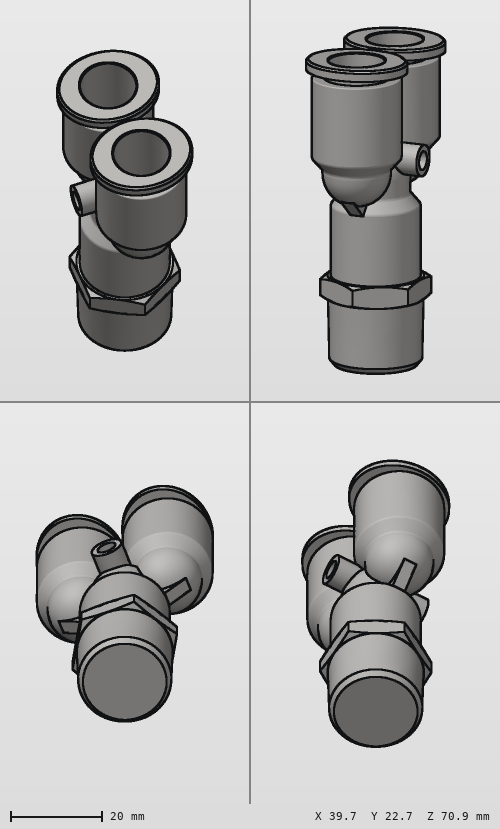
import cadquery as cq
import math

HEIGHT = 70.9
WIDTH = 39.7

THREAD_TOP = 15.0
THREAD_TOP_RADIUS = 10.5
THREAD_BOTTOM_RADIUS = 10.2
THREAD_LEAD_HEIGHT = 1.35
THREAD_LEAD_RADIUS = 9.15
HEX_TOP = 19.9
HEX_FLATS = 21.1
HEX_CORNER_DROP = 0.65

BODY_RADIUS = 9.85
SLEEVE_TOP = 35.9
HUB_RADIUS = 7.6
HUB_BOTTOM = 38.6
HUB_TOP = 43.05
SHOULDER_FILLET = 0.85

SOCKET_OFFSET = WIDTH / 2 - BODY_RADIUS
SOCKET_TOP = 66.9
SOCKET_CONE_TOP = 48.9
SOCKET_CONE_BOTTOM = 46.3
BALL_RADIUS = 7.5
BALL_CENTER = 45.5
SOCKET_FILLET = 0.85
RIM_FILLET = 0.3

NECK_RADIUS = 7.1
FLANGE_BOTTOM = 68.55
FLANGE_HALF_WIDTH = 9.7
FLANGE_HALF_LENGTH = 11.35
FLANGE_CHAMFER = 0.5
BORE_RADIUS = 6.2
BORE_CHAMFER = 0.2
BORE_BOTTOM = SOCKET_CONE_TOP

LUG_RADIUS = 3.5
LUG_HOLE_RADIUS = 2.05
LUG_LENGTH = 2 * FLANGE_HALF_LENGTH
LUG_HEIGHT = 47.0

RIB_THICKNESS = 3.05
RIB_BOTTOM = 35.65
RIB_SLOPE = 40.0
WEB_THICKNESS = 2.1
WEB_TOP = 65.7


def revolve_profile(profile):
    return profile.close().revolve(360, (0, 0, 0), (0, 1, 0))


def circles_between(low, high):
    """Selector for the round edges of a turned part from height low to height high."""
    reach = 2 * BODY_RADIUS
    margin = 0.35
    return cq.selectors.BoxSelector((-reach, -reach, low - margin), (reach, reach, high + margin))


def make_thread():
    profile = (
        cq.Workplane("XZ")
        .lineTo(THREAD_LEAD_RADIUS, 0)
        .lineTo(THREAD_BOTTOM_RADIUS, THREAD_LEAD_HEIGHT)
        .lineTo(THREAD_TOP_RADIUS, THREAD_TOP)
        .lineTo(0, THREAD_TOP)
    )
    return revolve_profile(profile)


def make_hexagon():
    """Hexagon with flats facing Y, its corners turned off conically at both ends."""
    flat_radius = HEX_FLATS / 2
    corner_radius = flat_radius / math.cos(math.radians(30))
    prism = (
        cq.Workplane("XY")
        .workplane(offset=THREAD_TOP)
        .polygon(6, 2 * corner_radius)
        .extrude(HEX_TOP - THREAD_TOP)
    )
    envelope = (
        cq.Workplane("XZ")
        .moveTo(0, THREAD_TOP)
        .lineTo(flat_radius, THREAD_TOP)
        .lineTo(corner_radius, THREAD_TOP + HEX_CORNER_DROP)
        .lineTo(corner_radius, HEX_TOP - HEX_CORNER_DROP)
        .lineTo(flat_radius, HEX_TOP)
        .lineTo(0, HEX_TOP)
    )
    return prism.intersect(revolve_profile(envelope))


def make_sleeve():
    """Round sleeve narrowing to the hub."""
    profile = (
        cq.Workplane("XZ")
        .moveTo(0, HEX_TOP)
        .lineTo(BODY_RADIUS, HEX_TOP)
        .lineTo(BODY_RADIUS, SLEEVE_TOP)
        .lineTo(HUB_RADIUS, HUB_BOTTOM)
        .lineTo(HUB_RADIUS, HUB_TOP)
        .lineTo(0, HUB_TOP)
    )
    sleeve = revolve_profile(profile)
    sleeve = sleeve.edges(circles_between(SLEEVE_TOP, HUB_BOTTOM)).fillet(SHOULDER_FILLET)
    dome = cq.Workplane("XY").sphere(HUB_RADIUS).translate((0, 0, HUB_TOP))
    return sleeve.union(dome)


def make_socket():
    """Tube socket on the Z axis: ball end, cone, round body and oval release collar."""
    profile = (
        cq.Workplane("XZ")
        .moveTo(0, BALL_CENTER)
        .lineTo(BALL_RADIUS, BALL_CENTER)
        .lineTo(BALL_RADIUS, SOCKET_CONE_BOTTOM)
        .lineTo(BODY_RADIUS, SOCKET_CONE_TOP)
        .lineTo(BODY_RADIUS, SOCKET_TOP)
        .lineTo(0, SOCKET_TOP)
    )
    body = revolve_profile(profile).faces(">Z").edges().fillet(RIM_FILLET)
    body = body.edges(circles_between(SOCKET_CONE_BOTTOM, SOCKET_CONE_TOP)).fillet(SOCKET_FILLET)
    ball = cq.Workplane("XY").sphere(BALL_RADIUS).translate((0, 0, BALL_CENTER))
    neck = (
        cq.Workplane("XY")
        .workplane(offset=SOCKET_TOP)
        .circle(NECK_RADIUS)
        .extrude(FLANGE_BOTTOM - SOCKET_TOP)
    )
    flange = (
        cq.Workplane("XY")
        .workplane(offset=FLANGE_BOTTOM)
        .ellipse(FLANGE_HALF_WIDTH, FLANGE_HALF_LENGTH)
        .extrude(HEIGHT - FLANGE_BOTTOM)
        .faces(">Z")
        .edges()
        .chamfer(FLANGE_CHAMFER)
    )
    return body.union(ball).union(neck).union(flange)


def make_bore():
    """Tube bore on the Z axis, widened at the mouth."""
    mouth_radius = BORE_RADIUS + BORE_CHAMFER
    profile = (
        cq.Workplane("XZ")
        .moveTo(0, BORE_BOTTOM)
        .lineTo(BORE_RADIUS, BORE_BOTTOM)
        .lineTo(BORE_RADIUS, HEIGHT - BORE_CHAMFER)
        .lineTo(mouth_radius, HEIGHT)
        .lineTo(0, HEIGHT)
    )
    return revolve_profile(profile)


def make_cross_cylinder(radius):
    return (
        cq.Workplane("XZ")
        .center(0, LUG_HEIGHT)
        .circle(radius)
        .extrude(LUG_LENGTH / 2, both=True)
    )


def make_rib():
    """Plate filling the corners between the sleeve and the ball ends."""
    slope = math.radians(RIB_SLOPE)
    tangent_x = SOCKET_OFFSET + BALL_RADIUS * math.sin(slope)
    tangent_z = BALL_CENTER - BALL_RADIUS * math.cos(slope)
    outline = [
        (-BODY_RADIUS, RIB_BOTTOM),
        (BODY_RADIUS, RIB_BOTTOM),
        (tangent_x, tangent_z),
        (SOCKET_OFFSET, BALL_CENTER),
        (-SOCKET_OFFSET, BALL_CENTER),
        (-tangent_x, tangent_z),
    ]
    return cq.Workplane("XZ").polyline(outline).close().extrude(RIB_THICKNESS / 2, both=True)


def make_web():
    """Thin plate closing the gap between the two socket bodies."""
    return (
        cq.Workplane("XY")
        .workplane(offset=BALL_CENTER)
        .rect(SOCKET_OFFSET - BORE_RADIUS, WEB_THICKNESS)
        .extrude(WEB_TOP - BALL_CENTER)
    )


result = make_thread().union(make_hexagon()).union(make_sleeve())
result = result.union(make_rib()).union(make_web())
for side in (-1, 1):
    result = result.union(make_socket().translate((side * SOCKET_OFFSET, 0, 0)))
result = result.union(make_cross_cylinder(LUG_RADIUS))

for side in (-1, 1):
    result = result.cut(make_bore().translate((side * SOCKET_OFFSET, 0, 0)))
result = result.cut(make_cross_cylinder(LUG_HOLE_RADIUS))